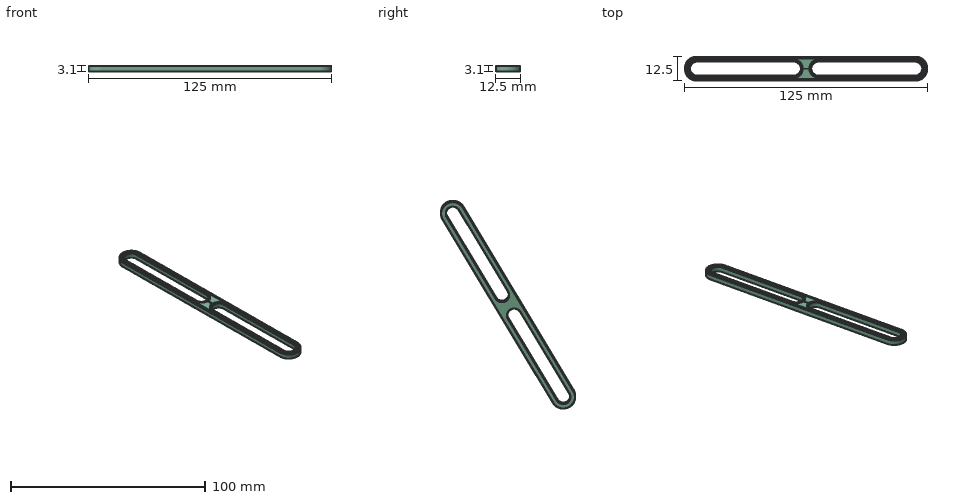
import cadquery as cq

LENGTH = 125.0
WIDTH = 12.5
THICKNESS = 3.1
EDGE_CHAMFER = 0.3

WALL = 2.8
WEB = 5.5
SLOT_WIDTH = WIDTH - 2 * WALL
SLOT_LENGTH = (LENGTH - 2 * WALL - WEB) / 2
SLOT_CENTERS = [side * (WEB + SLOT_LENGTH) / 2 for side in (-1, 1)]

RIM = 1.1
RECESS_DEPTH = 0.2
RECESS_FLOOR = THICKNESS - RECESS_DEPTH

RIB_WIDTH = 0.1


def round_ended_block(length, width, center_x=0.0, bottom=0.0, height=THICKNESS):
    """Block with full-radius ends, lying along X."""
    plane = cq.Workplane("XY", origin=(center_x, 0, bottom))
    return plane.slot2D(length, width).extrude(height)


def slotted_bar():
    """Bar with both slots cut through and every top and bottom edge chamfered."""
    bar = round_ended_block(LENGTH, WIDTH)
    for center_x in SLOT_CENTERS:
        bar = bar.cut(round_ended_block(SLOT_LENGTH, SLOT_WIDTH, center_x))
    return bar.faces("|Z").edges().chamfer(EDGE_CHAMFER)


def top_recess():
    """Volume removed from the top face: a narrow channel that widens over the web."""
    def layer(length, width, center_x=0.0):
        return round_ended_block(length, width, center_x, RECESS_FLOOR, RECESS_DEPTH)

    recess = layer(LENGTH - 2 * RIM, WIDTH - 2 * RIM)
    for center_x in SLOT_CENTERS:
        recess = recess.cut(layer(SLOT_LENGTH + 2 * RIM, SLOT_WIDTH + 2 * RIM, center_x))
    rib = cq.Workplane("XY", origin=(0, 0, RECESS_FLOOR)).rect(WEB, RIB_WIDTH).extrude(RECESS_DEPTH)
    return recess.cut(rib)


result = slotted_bar().cut(top_recess())